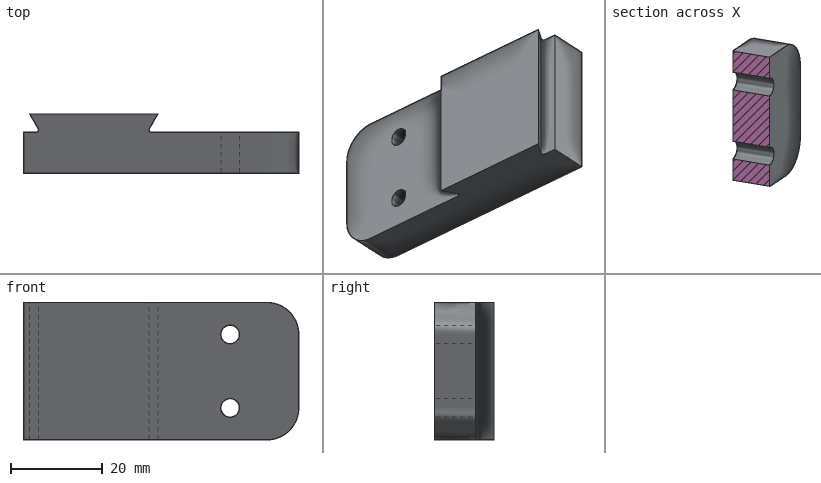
import cadquery as cq
import math

length = 60.0
height = 30.0
plate_thickness = 9.0
corner_radius = 7.0

rail_depth = 3.99
rail_crest_width = 28.0
rail_crest_start = 1.3
flank_angle = 60.0
root_radius = 0.5

hole_diameter = 4.0
hole_x = 45.0
hole_spacing = 16.0


def make_plate():
    """Plate with its front face at Y = 0 and the two +X corners rounded."""
    plate = cq.Workplane("XY").box(length, plate_thickness, height, centered=False)
    return plate.edges("|Y and >X").fillet(corner_radius)


def add_dovetail(body):
    """Add the rail, undercut on both flanks, and round its two root edges."""
    crest_end = rail_crest_start + rail_crest_width
    crest_y = plate_thickness + rail_depth
    undercut = rail_depth / math.tan(math.radians(flank_angle))
    root_start = rail_crest_start + undercut
    root_end = crest_end - undercut

    rail = (
        cq.Workplane("XY")
        .moveTo(root_start, plate_thickness)
        .lineTo(rail_crest_start, crest_y)
        .lineTo(crest_end, crest_y)
        .lineTo(root_end, plate_thickness)
        .close()
        .extrude(height)
    )
    root_edges = cq.selectors.SumSelector(
        cq.selectors.NearestToPointSelector((root_start, plate_thickness, height / 2)),
        cq.selectors.NearestToPointSelector((root_end, plate_thickness, height / 2)),
    )
    return body.union(rail).edges(root_edges).fillet(root_radius)


def cut_holes(body):
    """Drill the two holes through the plate along Y."""
    for side in (-1, 1):
        hole_z = height / 2 + side * hole_spacing / 2
        drill = (
            cq.Workplane("XZ", origin=(hole_x, 0, hole_z))
            .circle(hole_diameter / 2)
            .extrude(-plate_thickness)
        )
        body = body.cut(drill)
    return body


result = cut_holes(add_dovetail(make_plate()))